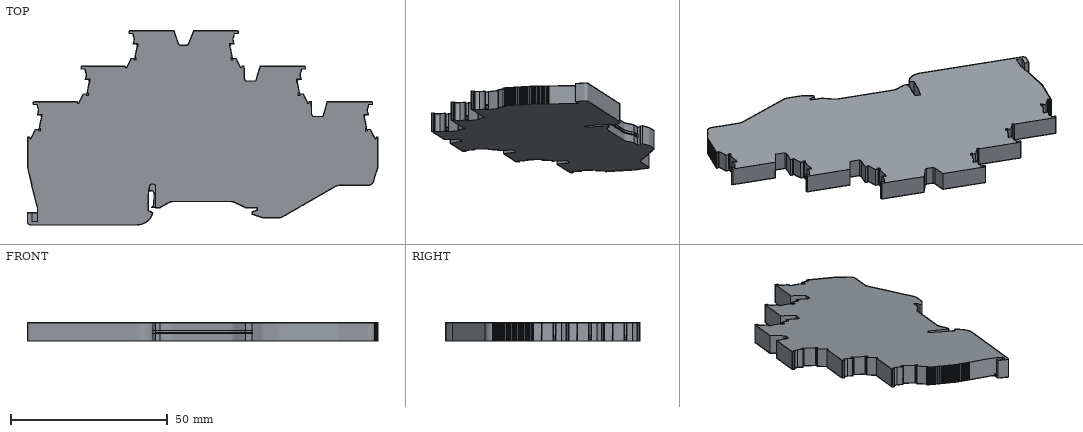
import cadquery as cq
import math

length = 111.7
height = 61.88
thickness = 5.85

tier_count = 3
tier_drop = 11.3
top_lip_left = 32.3
top_lip_right = 67.2
left_pitch = 15.25
right_pitch = 21.4
shoulder_y = height - tier_count * tier_drop

tier_end = [
    (0.25, 0.0),
    (0.0, 0.3),
    (0.0, 0.8),
    (0.15, 0.95),
    (1.3, 0.95),
    (1.4, 1.7),
    (1.7, 2.4),
    (1.6, 3.4),
    (1.35, 4.2),
    (2.4, 4.2),
    (2.7, 5.0),
    (2.45, 5.8),
    (2.1, 7.6),
    (1.9, 8.8),
    (0.7, 8.8),
    (0.5, 9.3),
    (-0.45, 11.2),
    (-0.75, 11.75),
    (-0.95, 11.75),
    (-1.2, 11.3),
]

corner_reliefs = [
    (1.95, 4.05, 0.9, 0.9),
    (1.7, 8.6, 0.65, 0.75),
]
relief_plate = 0.5
relief_web_bottom = 1.2
relief_web_top = 1.6

top_notch = [(46.7, 0.0), (48.1, 4.1), (48.6, 4.6), (50.8, 4.6), (51.3, 4.1), (52.95, 0.0)]
side_notch = [(1.85, 0.0), (1.95, 3.9), (2.3, 4.7), (5.5, 4.7), (6.9, 0.0)]

rail_seat_y = 7.55
rail_lip_y = 5.6
hook_bottom_y = 2.25
overhang_y = 12.6
overhang_corner = (110.0, overhang_y)
overhang_root = (98.7, overhang_y)
hook_slope_foot = (80.7, hook_bottom_y)
hook_nose = (75.0, hook_bottom_y)
hook_tip_x = 71.6
hook_tip_bottom = 3.4
hook_tip_top = 4.2
undercut_bottom = 4.8
rail_seat_left = 45.6
rail_seat_right = 65.4
rail_lip_left = 42.2
rail_lip_right = 69.5
rail_undercut_x = 73.2

slot_left = 38.85
slot_left_foot = 38.5
slot_right = 40.8
slot_top = 13.0
slot_corner = 0.7
slot_kink_y = 9.2
slot_mouth_y = 4.65

web_bottom = 2.45
web_top = 3.4
web_slot_top = 10.9
web_slot_right = 40.35
web_slot_foot = (40.15, 6.3)
web_slot_corner = 0.65
web_lip_x = 39.6

rail_rib_steps = [(0.06, web_bottom), (0.12, 2.75)]

finger_top = 3.95
finger_corner = 1.0
pocket_left = 1.4
pocket_right = 3.2
pocket_bottom = 1.15
pocket_floor = 0.5
finger_root_y = 5.3

taper_y = 18.3
left_grip_end = (1.3, 12.7)
right_grip_end = (110.5, 14.6)
serration_pitch = 0.7
serration_depth = 0.1

foot_tip = (39.95, 3.9)
foot_arc_start_x = 34.9
foot_radius = 5.2

blunt_radius = 3.0
overhang_radius = 2.0


def tier_top(tier):
    return height - tier * tier_drop


def lip_x(tier, side):
    """X of a lip tip; side is -1 for the left end and +1 for the right end."""
    if side < 0:
        return top_lip_left - tier * left_pitch
    return top_lip_right + tier * right_pitch


def tier_end_points(tier, side):
    return [(lip_x(tier, side) - side * inwards, tier_top(tier) - depth) for inwards, depth in tier_end]


def upper_points():
    """Stepped upper outline from the left shoulder to the right shoulder."""
    points = []
    for tier in reversed(range(tier_count)):
        points += reversed(tier_end_points(tier, -1))
    points += [(x, height - depth) for x, depth in top_notch]
    for tier in range(tier_count):
        points += tier_end_points(tier, 1)
        if tier < tier_count - 1:
            points += [(lip_x(tier, 1) + x, tier_top(tier + 1) - depth) for x, depth in side_notch]
    return points


def serrated(start, end, side):
    """Zigzag from start to end whose roots are set back from the side edge."""
    teeth = round(math.dist(start, end) / serration_pitch)
    points = []
    for step in range(2 * teeth + 1):
        share = step / (2 * teeth)
        set_back = serration_depth if step % 2 else 0
        x = start[0] + share * (end[0] - start[0]) - side * set_back
        points.append((x, start[1] + share * (end[1] - start[1])))
    return points


def left_points():
    """Left edge from the end of its grip up to the shoulder."""
    lower = serrated(left_grip_end, (0, taper_y), -1)
    upper = serrated((0, taper_y), (0, shoulder_y), -1)
    return lower + upper[1:]


def right_points():
    """Right edge, overhang and rail hook, from the right shoulder to the rail undercut."""
    return [
        *serrated((length, shoulder_y), (length, taper_y), 1),
        *serrated((length, taper_y), right_grip_end, 1)[1:],
        overhang_corner,
        overhang_root,
        hook_slope_foot,
        hook_nose,
        (hook_tip_x, hook_tip_bottom),
        (hook_tip_x, hook_tip_top),
        (rail_undercut_x, undercut_bottom),
    ]


def rail_points():
    """Rail seat from its undercut on the right to the spring slot on the left."""
    return [
        (rail_undercut_x, rail_lip_y),
        (rail_lip_right, rail_lip_y),
        (rail_seat_right, rail_seat_y),
        (rail_seat_left, rail_seat_y),
        (rail_lip_left, rail_lip_y),
        (slot_right, rail_lip_y),
    ]


def seat_corners():
    return [(rail_seat_left, rail_seat_y), (rail_seat_right, rail_seat_y)]


def round_corner(body, corner, radius, middle_z=thickness / 2):
    """Fillet the upright edge that stands at the given outline corner."""
    middle = (*corner, middle_z)
    return body.edges(cq.selectors.NearestToPointSelector(middle)).fillet(radius)


def housing():
    """Full-thickness plate with its rounded corners."""
    outline = cq.Workplane("XY").moveTo(pocket_right, finger_root_y)
    for point in left_points() + upper_points() + right_points() + rail_points():
        outline = outline.lineTo(*point)
    outline = (
        outline.lineTo(slot_right, slot_top - slot_corner)
        .radiusArc((slot_right - slot_corner, slot_top), -slot_corner)
        .lineTo(slot_left + slot_corner, slot_top)
        .radiusArc((slot_left, slot_top - slot_corner), -slot_corner)
        .lineTo(slot_left_foot, slot_kink_y)
        .lineTo(slot_left_foot, slot_mouth_y)
        .lineTo(*foot_tip)
        .radiusArc((foot_arc_start_x, 0), foot_radius)
        .lineTo(finger_corner, 0)
        .radiusArc((0, finger_corner), finger_corner)
        .lineTo(0, finger_top)
        .lineTo(pocket_right, finger_top)
        .close()
    )
    body = outline.extrude(thickness)
    for corner in seat_corners() + [hook_nose, hook_slope_foot, overhang_root]:
        body = round_corner(body, corner, blunt_radius)
    return round_corner(body, overhang_corner, overhang_radius)


def prism(points, bottom, top):
    return cq.Workplane("XY").workplane(offset=bottom).polyline(points).close().extrude(top - bottom)


def slot_web():
    """Web that narrows the spring slot at mid thickness."""
    points = [
        (slot_left, slot_top),
        (slot_right, slot_top),
        (slot_right, rail_lip_y),
        (web_lip_x, rail_lip_y),
        web_slot_foot,
        (web_slot_right, web_slot_top - web_slot_corner),
        (web_slot_right - web_slot_corner, web_slot_top),
        (slot_left, web_slot_top),
    ]
    return prism(points, web_bottom, web_top)


def rail_rib_step(projection, bottom):
    """One layer of the shallow rib that follows the rail seat."""
    edge = rail_points()
    lowered = [(x, y - projection) for x, y in reversed(edge)]
    step = prism(edge + lowered, bottom, web_top)
    for x, y in seat_corners():
        step = round_corner(step, (x, y - projection), blunt_radius, (bottom + web_top) / 2)
    return step


def finger_pocket():
    points = [
        (pocket_left, pocket_bottom),
        (pocket_right, pocket_bottom),
        (pocket_right, finger_top),
        (pocket_left, finger_top),
    ]
    return prism(points, pocket_floor, thickness)


def corner_relief(tier, side, relief):
    """Notch in a tier end, interrupted by a thin web and closed by the bottom plate."""
    inwards, depth, width, drop = relief
    x_outer = lip_x(tier, side) - side * inwards
    x_inner = x_outer - side * width
    y_top = tier_top(tier) - depth
    y_bottom = y_top - drop
    points = [(x_outer, y_top), (x_inner, y_top), (x_inner, y_bottom), (x_outer, y_bottom)]
    above_web = prism(points, relief_web_top, thickness)
    below_web = prism(points, relief_plate, relief_web_bottom)
    return [above_web, below_web]


def add_rail_rib(body):
    for projection, bottom in rail_rib_steps:
        body = body.union(rail_rib_step(projection, bottom))
    return body


def cut_corner_reliefs(body):
    for tier in range(tier_count):
        for side in (-1, 1):
            for relief in corner_reliefs:
                for notch in corner_relief(tier, side, relief):
                    body = body.cut(notch)
    return body


result = housing().union(slot_web()).cut(finger_pocket())
result = add_rail_rib(result)
result = cut_corner_reliefs(result)